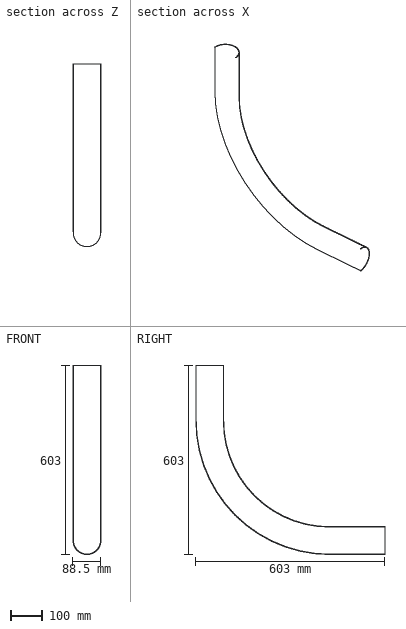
import cadquery as cq

overall_length = 603.0
outer_diameter = 88.5
inner_diameter = 85.5
straight_length = 177.0

outer_radius = outer_diameter / 2
inner_radius = inner_diameter / 2
bend_radius = overall_length - straight_length - outer_radius
bend_angle = 90


def tube_section(plane, origin=(0, 0, 0)):
    """Ring-shaped cross-section of the tube, centred on the given origin."""
    return cq.Workplane(plane, origin=origin).circle(outer_radius).circle(inner_radius)


vertical_leg = tube_section("XY").extrude(straight_length)

bend = tube_section("XY").revolve(bend_angle, (0, bend_radius, 0), (1, bend_radius, 0))

horizontal_leg = tube_section("XZ", (0, bend_radius, -bend_radius)).extrude(-straight_length)

result = vertical_leg.union(bend).union(horizontal_leg)